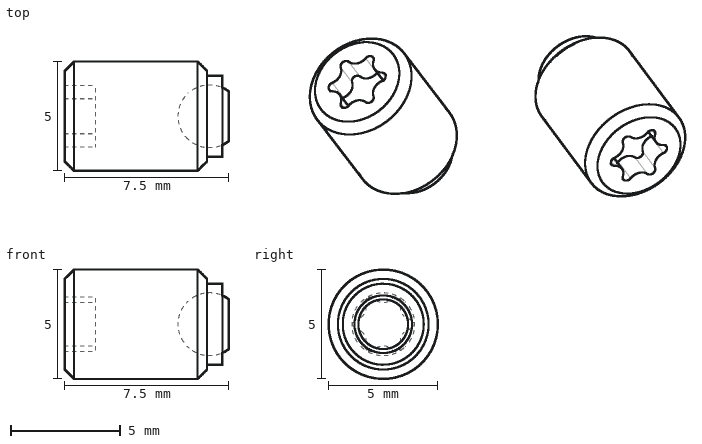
import cadquery as cq
import math


overall_length = 7.5
screw_diameter = 5.0
barrel_length = 6.5
chamfer = 0.43
neck_diameter = 3.7
neck_length = 0.7
neck_end = barrel_length + neck_length

ball_radius = 1.44
flat_diameter = 2.27
flat_to_ball_center = math.sqrt(ball_radius**2 - (flat_diameter / 2) ** 2)
ball_center = overall_length - flat_to_ball_center

lobe_count = 6
socket_depth = 1.4
lobe_tip_radius = 1.4
valley_radius = 0.985
lobe_rounding = 0.229


def polar_point(radius, angle):
    return radius * math.cos(angle), radius * math.sin(angle)


def six_lobe_socket():
    """Solid with the shape of the drive socket, cut from the X = 0 face."""
    half_pitch = math.pi / lobe_count
    lobe_center = lobe_tip_radius - lobe_rounding

    spread = lobe_center * math.cos(half_pitch)
    valley_rounding = (
        valley_radius**2 + lobe_center**2 - 2 * valley_radius * spread - lobe_rounding**2
    ) / (2 * (lobe_rounding + spread - valley_radius))
    valley_center = valley_radius + valley_rounding

    valley_x, valley_y = polar_point(valley_center, half_pitch)
    share = lobe_rounding / (lobe_rounding + valley_rounding)
    tangent_x = lobe_center + share * (valley_x - lobe_center)
    tangent_y = share * valley_y
    tangent_radius = math.hypot(tangent_x, tangent_y)
    tangent_angle = math.atan2(tangent_y, tangent_x)

    outline = cq.Workplane("YZ").moveTo(*polar_point(tangent_radius, -tangent_angle))
    for lobe in range(lobe_count):
        lobe_angle = 2 * half_pitch * lobe
        valley_angle = lobe_angle + half_pitch
        next_lobe_angle = lobe_angle + 2 * half_pitch
        outline = outline.threePointArc(
            polar_point(lobe_tip_radius, lobe_angle),
            polar_point(tangent_radius, lobe_angle + tangent_angle),
        ).threePointArc(
            polar_point(valley_radius, valley_angle),
            polar_point(tangent_radius, next_lobe_angle - tangent_angle),
        )
    return outline.close().extrude(socket_depth)


def make_ball():
    """Flat-faced ball: a half profile turned about the X axis."""
    flat_radius = flat_diameter / 2
    profile = (
        cq.Workplane("XZ")
        .moveTo(ball_center - ball_radius, 0)
        .threePointArc((ball_center, ball_radius), (overall_length, flat_radius))
        .lineTo(overall_length, 0)
        .close()
    )
    return profile.revolve(360, (0, 0, 0), (1, 0, 0))


def make_screw():
    """Chamfered barrel and neck, with the drive socket and the ball seat."""
    barrel = cq.Workplane("YZ").circle(screw_diameter / 2).extrude(barrel_length)
    barrel = barrel.faces("<X or >X").chamfer(chamfer)
    neck = cq.Workplane("YZ").circle(neck_diameter / 2).extrude(neck_end)
    return barrel.union(neck).cut(six_lobe_socket()).cut(make_ball())


screw = make_screw()
ball = make_ball()

result = cq.Compound.makeCompound([screw.val(), ball.val()])